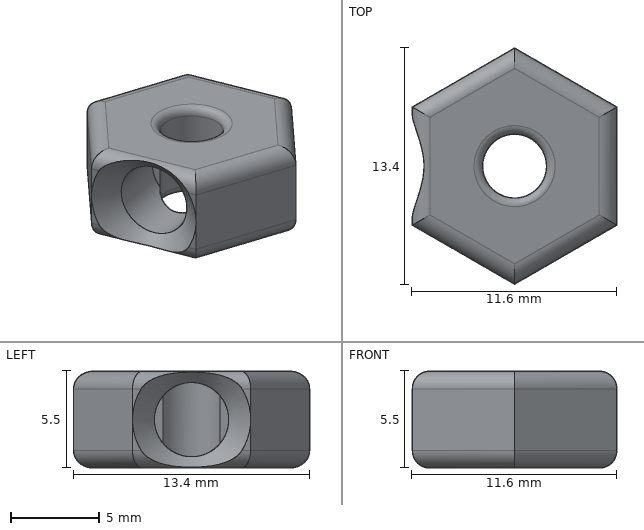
import cadquery as cq
import math

corner_diameter = 13.39
height = 5.5
edge_radius = 1.0
flat_distance = corner_diameter / 2 * math.cos(math.pi / 6)

bore_diameter = 3.6
bore_mouth_radius = 0.5

cross_diameter = 4.2
cross_depth = 5.0

countersink_diameter = corner_diameter / 2
countersink_depth = (countersink_diameter - cross_diameter) / 2


def make_body():
    hexagon = cq.Workplane("XY").polygon(6, corner_diameter).extrude(height / 2, both=True)
    hexagon = hexagon.rotate((0, 0, 0), (0, 0, 1), 90)
    return hexagon.faces("<Z or >Z").edges().fillet(edge_radius)


def cut_bore(body):
    bored = body.cut(cq.Workplane("XY").circle(bore_diameter / 2).extrude(height, both=True))
    return bored.faces("<Z or >Z").edges("%CIRCLE").fillet(bore_mouth_radius)


def make_cross_hole():
    """Half profile in the XY plane, revolved about the X axis."""
    mouth_x = -flat_distance
    bottom_x = mouth_x + cross_depth
    return (
        cq.Workplane("XY")
        .moveTo(mouth_x, 0)
        .lineTo(mouth_x, countersink_diameter / 2)
        .lineTo(mouth_x + countersink_depth, cross_diameter / 2)
        .lineTo(bottom_x, cross_diameter / 2)
        .lineTo(bottom_x, 0)
        .close()
        .revolve(360, (0, 0, 0), (1, 0, 0))
    )


result = cut_bore(make_body()).cut(make_cross_hole())